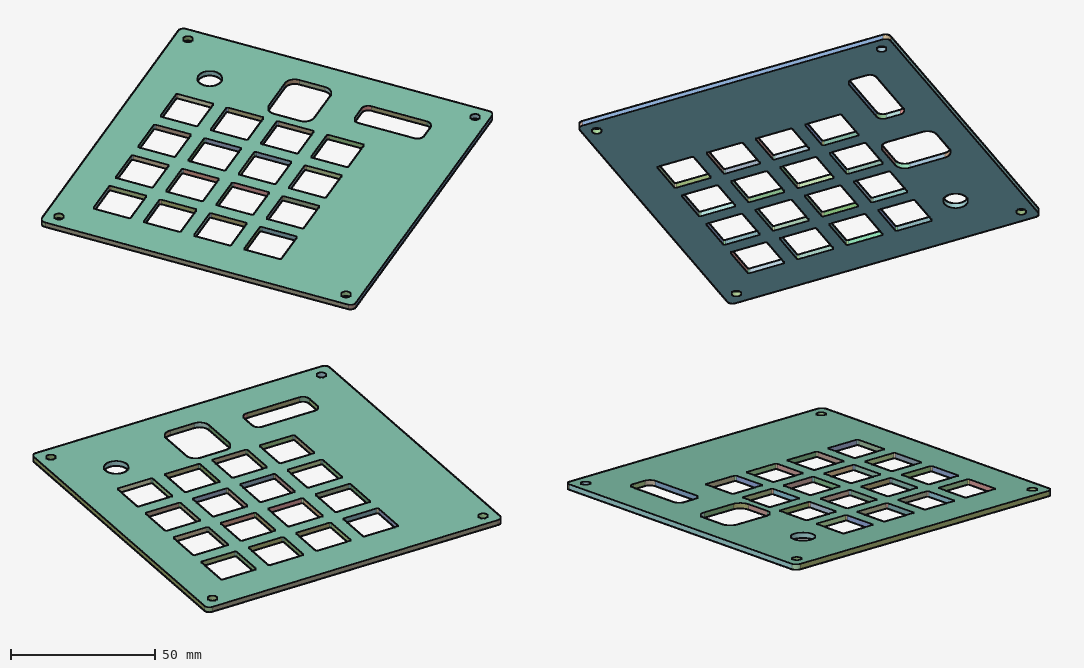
import cadquery as cq

PLATE_X = 118.8
PLATE_Y = 120.2
PLATE_THICKNESS = 2.0
PLATE_CORNER_RADIUS = 2.0

SCREW_HOLE_DIAMETER = 3.4
SCREW_HOLE_INSET = 5.0

KEYS_PER_SIDE = 4
KEY_GRID_SPAN = 57.1
KEY_PITCH = KEY_GRID_SPAN / (KEYS_PER_SIDE - 1)
KEY_SIZE = 14.0
KEY_CORNER_RADIUS = 0.5
KEY_GRID_CENTER = (-9.9, -10.5)

ROUND_OPENING_DIAMETER = 8.5
ROUND_OPENING_CENTER = (KEY_GRID_CENTER[0] - KEY_GRID_SPAN / 2, 37.6)

WINDOW_SIZE = (17.2, 21.0)
WINDOW_CENTER = (-4.9, 38.9)
WINDOW_CORNER_RADIUS = 3.7

SLOT_SIZE = (26.1, 10.5)
SLOT_CENTER = (29.5, 40.7)
SLOT_CORNER_RADIUS = 2.5


def rounded_block(size, center, corner_radius):
    """Plate-thick rectangular block with rounded vertical edges, standing on Z = 0."""
    return (
        cq.Workplane("XY")
        .center(*center)
        .rect(*size)
        .extrude(PLATE_THICKNESS)
        .edges("|Z")
        .fillet(corner_radius)
    )


def cylinders(diameter, centers):
    """Plate-thick cylinders standing on Z = 0, one at each centre."""
    return cq.Workplane("XY").pushPoints(centers).circle(diameter / 2).extrude(PLATE_THICKNESS)


def key_centers():
    """Centres of all key openings, starting from the lower left."""
    first_x = KEY_GRID_CENTER[0] - KEY_GRID_SPAN / 2
    first_y = KEY_GRID_CENTER[1] - KEY_GRID_SPAN / 2
    return [
        (first_x + column * KEY_PITCH, first_y + row * KEY_PITCH)
        for row in range(KEYS_PER_SIDE)
        for column in range(KEYS_PER_SIDE)
    ]


def screw_centers():
    """Centres of the four screw holes, equally inset from both plate edges."""
    x = PLATE_X / 2 - SCREW_HOLE_INSET
    y = PLATE_Y / 2 - SCREW_HOLE_INSET
    return [(-x, -y), (x, -y), (x, y), (-x, y)]


result = rounded_block((PLATE_X, PLATE_Y), (0, 0), PLATE_CORNER_RADIUS)
result = result.cut(cylinders(SCREW_HOLE_DIAMETER, screw_centers()))
result = result.cut(cylinders(ROUND_OPENING_DIAMETER, [ROUND_OPENING_CENTER]))
result = result.cut(rounded_block(WINDOW_SIZE, WINDOW_CENTER, WINDOW_CORNER_RADIUS))
result = result.cut(rounded_block(SLOT_SIZE, SLOT_CENTER, SLOT_CORNER_RADIUS))
for key_center in key_centers():
    result = result.cut(rounded_block((KEY_SIZE, KEY_SIZE), key_center, KEY_CORNER_RADIUS))